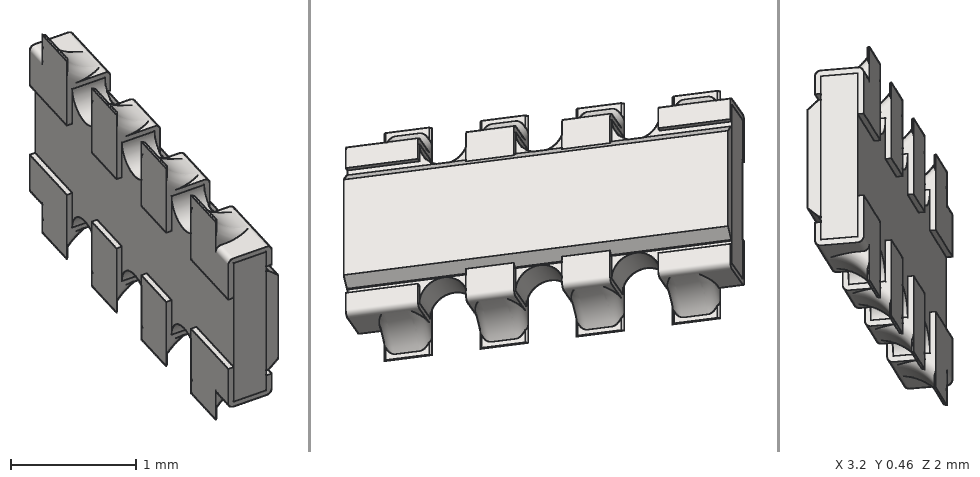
import cadquery as cq
import math


terminals_per_row = 4
pitch = 0.8
terminal_width = 0.4
metal = 0.05

length = 3.2
substrate_height = 1.4
substrate_thickness = 0.3
half_height = substrate_height / 2
substrate_back = metal + substrate_thickness
notch_radius = (pitch - terminal_width) / 2

coat_thickness = 0.11
coat_rim = 0.02
coat_half_height = half_height - notch_radius
coat_top_half_height = 0.42
coat_rim_y = substrate_back + coat_rim
coat_back = substrate_back + coat_thickness

wrap_top = half_height + metal
wrap_back = substrate_back + metal
front_lap = 0.4
end_back_lap = 0.2
wrap_corner_radius = metal

solder_top = 1.0
solder_lip = 0.02
solder_radius = 0.48
solder_center_y = 0.42
solder_edge_radius = 0.1


def extrude_along_x(points, x_start, x_end):
    """Extrude a closed YZ outline between two X positions."""
    return (
        cq.Workplane("YZ", origin=(x_start, 0, 0))
        .polyline(points)
        .close()
        .extrude(x_end - x_start)
    )


def make_substrate():
    """Flat plate with a half-round notch between neighbouring terminals on both long edges."""
    plate = cq.Workplane("XY").box(length, substrate_thickness, substrate_height)
    notch_count = terminals_per_row - 1
    notch_centers = [
        ((i - (notch_count - 1) / 2) * pitch, side * half_height)
        for i in range(notch_count)
        for side in (-1, 1)
    ]
    notches = (
        cq.Workplane("XZ", origin=(0, substrate_thickness / 2, 0))
        .pushPoints(notch_centers)
        .circle(notch_radius)
        .extrude(substrate_thickness)
    )
    return plate.cut(notches).translate((0, metal + substrate_thickness / 2, 0))


def make_coat():
    """Full-length coat with sloped long edges."""
    outline = [
        (substrate_back, -coat_half_height),
        (coat_rim_y, -coat_half_height),
        (coat_back, -coat_top_half_height),
        (coat_back, coat_top_half_height),
        (coat_rim_y, coat_half_height),
        (substrate_back, coat_half_height),
    ]
    return extrude_along_x(outline, -length / 2, length / 2)


def back_lap_end(is_end_terminal):
    """YZ points closing the back lap, from its outer face to the substrate."""
    if is_end_terminal:
        lap_z = wrap_top - end_back_lap
        return [(wrap_back, lap_z), (substrate_back, lap_z)]
    slope = (coat_half_height - coat_top_half_height) / (coat_back - coat_rim_y)
    contact_z = coat_half_height - slope * (wrap_back - coat_rim_y)
    return [
        (wrap_back, contact_z),
        (coat_rim_y, coat_half_height),
        (substrate_back, coat_half_height),
    ]


def make_wrap(x_start, x_end, is_end_terminal):
    """C-shaped metal wrap around the upper edge of the substrate."""
    front_lap_z = wrap_top - front_lap
    outline = [
        (0, front_lap_z),
        (0, wrap_top),
        (wrap_back, wrap_top),
        *back_lap_end(is_end_terminal),
        (substrate_back, half_height),
        (metal, half_height),
        (metal, front_lap_z),
    ]
    wrap = extrude_along_x(outline, x_start, x_end)
    return wrap.faces(">Z").edges("|X").fillet(wrap_corner_radius)


def make_solder(x_center):
    """Concave solder fillet with rounded sides, rising to a thin bevelled lip at the front."""
    half_width = terminal_width / 2
    start_offset = solder_center_y - substrate_back
    center_z = wrap_top + math.sqrt(solder_radius**2 - start_offset**2)
    outer_radius = 2 * solder_radius
    ring = (
        cq.Workplane("XY", origin=(x_center, solder_center_y, center_z))
        .moveTo(-half_width, -outer_radius)
        .lineTo(half_width, -outer_radius)
        .lineTo(half_width, -solder_radius - solder_edge_radius)
        .radiusArc((half_width - solder_edge_radius, -solder_radius), -solder_edge_radius)
        .lineTo(solder_edge_radius - half_width, -solder_radius)
        .radiusArc((-half_width, -solder_radius - solder_edge_radius), -solder_edge_radius)
        .close()
        .revolve(360, (0, 0, 0), (1, 0, 0))
    )
    x_start = x_center - half_width
    block_outline = [
        (0, half_height),
        (0, solder_top),
        (substrate_back, solder_top),
        (substrate_back, wrap_top),
        (metal, wrap_top),
        (metal, half_height),
    ]
    block = extrude_along_x(block_outline, x_start, x_start + terminal_width)
    lip = (
        cq.Workplane("XY", origin=(x_center, 0, half_height))
        .polyline([
            (-half_width, 0),
            (half_width, 0),
            (half_width - solder_lip, solder_lip),
            (solder_lip - half_width, solder_lip),
        ])
        .close()
        .extrude(solder_top - half_height)
    )
    return block.intersect(ring).union(lip)


def make_terminal(index):
    """Upper terminal with its solder; the end terminals reach the ends of the substrate."""
    x_center = (index - (terminals_per_row - 1) / 2) * pitch
    is_first = index == 0
    is_last = index == terminals_per_row - 1
    x_start = -length / 2 if is_first else x_center - terminal_width / 2
    x_end = length / 2 if is_last else x_center + terminal_width / 2
    wrap = make_wrap(x_start, x_end, is_first or is_last)
    return wrap.union(make_solder(x_center), clean=False)


substrate = make_substrate()
coat = make_coat()
terminals = []
for index in range(terminals_per_row):
    upper_terminal = make_terminal(index)
    terminals.append(upper_terminal.solids().val())
    terminals.append(upper_terminal.mirror("XY").solids().val())

result = cq.Compound.makeCompound([substrate.solids().val(), coat.val(), *terminals])